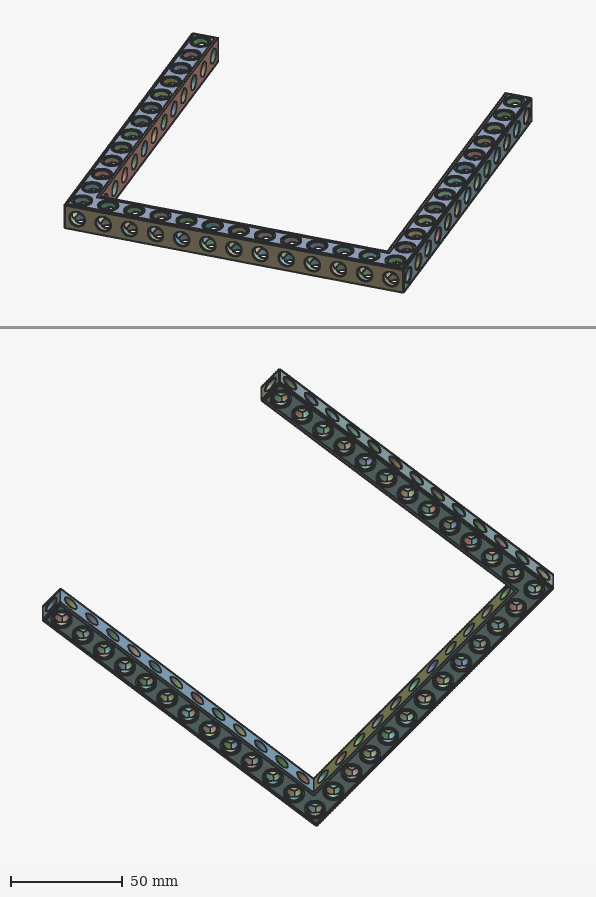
import cadquery as cq

frame_size = 162.5
hole_count = 13
pitch = frame_size / hole_count
beam_width = pitch
edge_chamfer = 0.5

rim_width = 1.19
recess_depth = 0.2

bore_diameter = 7.0
mouth_chamfer = 0.3
mouth_chamfer_angle = 45
collar_diameter = 9.3

half_width = beam_width / 2
arm_centre = (frame_size - beam_width) / 2
hole_steps = [(i - (hole_count - 1) / 2) * pitch for i in range(hole_count)]
base_row = [(x, -arm_centre) for x in hole_steps]
arm_rows = [(side * arm_centre, y) for side in (-1, 1) for y in hole_steps[1:]]
vertical_places = base_row + arm_rows
side_places = [(step, 0) for step in hole_steps]


def opening(setback):
    """Block that clears the inside of the U, its walls set back into the beam."""
    width = frame_size - 2 * beam_width + 2 * setback
    block = cq.Workplane("XY").box(width, frame_size, beam_width)
    return block.translate((0, beam_width - setback, 0))


def frame_blank():
    """Square plate chamfered on all outer edges, opened into a U with sharp inner edges."""
    plate = cq.Workplane("XY").box(frame_size, frame_size, beam_width)
    return plate.edges().chamfer(edge_chamfer).cut(opening(0))


def face_recess(bottom):
    """Recess following the U inside the rim, leaving a collar at each vertical bore."""
    plane = cq.Workplane("XY").workplane(offset=bottom)
    outer_size = frame_size - 2 * rim_width
    outer = plane.rect(outer_size, outer_size).extrude(recess_depth)
    collars = plane.pushPoints(vertical_places).circle(collar_diameter / 2).extrude(recess_depth)
    return outer.cut(opening(rim_width)).cut(collars)


def cut_bores(body, plane_name, places, length):
    """Cut parallel through bores with a chamfered mouth at both ends of the length."""
    bore_radius = bore_diameter / 2
    plane = cq.Workplane(plane_name)
    body = body.cut(plane.pushPoints(places).circle(bore_radius).extrude(length / 2, both=True))
    for end in (-1, 1):
        end_plane = plane.workplane(offset=end * length / 2).pushPoints(places)
        mouths = end_plane.circle(bore_radius + mouth_chamfer)
        body = body.cut(mouths.extrude(-end * mouth_chamfer, taper=mouth_chamfer_angle))
    return body


result = frame_blank()
result = result.cut(face_recess(half_width - recess_depth))
result = result.cut(face_recess(-half_width))
result = cut_bores(result, "XY", vertical_places, beam_width)

result = cut_bores(result, "XZ", side_places, frame_size)
result = cut_bores(result, "YZ", side_places, frame_size)